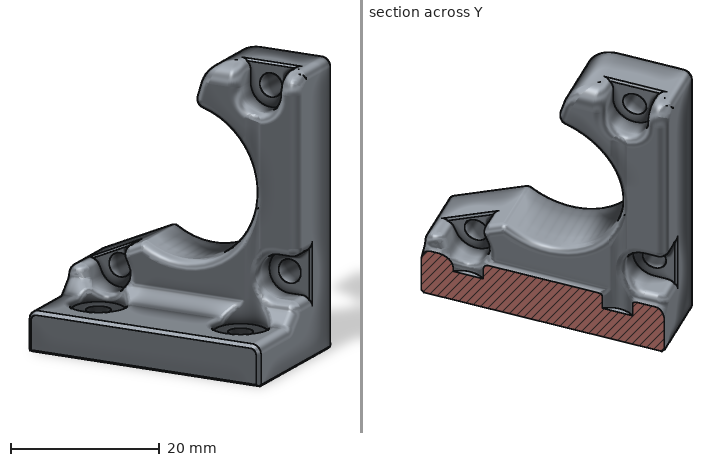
import cadquery as cq
import math

width = 35.2
depth = 21.0
height = 41.0
base_height = 6.0
upright_depth = 10.0
half_width = width / 2

bore_radius = 11.0
bore_height = 23.5
ramp_angle = math.radians(24.6)
ramp_end_x = -6.0
hook_tangent_x = 6.9
hook_radius = 4.6
hook_angle = math.radians(73)

blend_leg = 2.0
blend_fillet = 1.0

edge_fillet = 1.35
top_front_fillet = 3.0
ramp_corner_fillet = 1.5
ramp_tip_fillet = 0.8
front_chamfer = 0.5
rear_chamfer = 0.4

hole_diameter = 3.4
pocket_radius = 3.1
pocket_depth = 4.0
pocket_fillet = 1.4
pocket_chamfer = 0.3
pocket_reach = 12.0
base_hole_x = 10.8
base_hole_y = -13.5
clearance_radius = 3.7
clearance_depth = 1.0
clearance_fillet = 0.95
rim_samples = 5
tolerance = 1e-3
upright_screws = [
    (11.5, 37.8, 0.0),
    (14.35, 12.0, -90.0),
    (-11.4, 9.2, math.degrees(ramp_angle)),
]


def bore_z(x, side):
    """Height of the bore wall at x, on its upper (+1) or lower (-1) half."""
    return bore_height + side * math.sqrt(bore_radius**2 - x**2)


ramp_tip = (ramp_end_x, bore_z(ramp_end_x, -1))
ramp_foot = (-half_width, ramp_tip[1] - (ramp_end_x + half_width) * math.tan(ramp_angle))
hook_corner = (hook_tangent_x - hook_radius * math.tan(hook_angle / 2), height)


def hook_tip_point():
    """Point where the slanted end of the hook meets the bore."""
    step_x = math.cos(hook_angle)
    step_z = math.sin(hook_angle)
    start_z = height - bore_height
    along = hook_corner[0] * step_x + start_z * step_z
    offset_squared = hook_corner[0] ** 2 + start_z**2 - along**2
    travel = along - math.sqrt(bore_radius**2 - offset_squared)
    return (hook_corner[0] - travel * step_x, height - travel * step_z)


hook_tip = hook_tip_point()


def near(x, y, z):
    """Selector for the edge closest to a point."""
    return cq.NearestToPointSelector((x, y, z))


def fillet_lengthwise(body, point, radius):
    """Round the edge along Y that passes through an (X, Z) point."""
    x, z = point
    return body.edges("|Y").edges(near(x, -upright_depth / 2, z)).fillet(radius)


def make_upright():
    """Hook-shaped plate around the bore, rounded over along its top front edge."""
    body = (
        cq.Workplane("XZ")
        .moveTo(-half_width, 0)
        .lineTo(half_width, 0)
        .lineTo(half_width, height)
        .lineTo(*hook_corner)
        .lineTo(*hook_tip)
        .threePointArc((bore_radius, bore_height), ramp_tip)
        .lineTo(*ramp_foot)
        .close()
        .extrude(upright_depth)
    )
    body = fillet_lengthwise(body, (half_width, height), edge_fillet)
    body = fillet_lengthwise(body, hook_corner, hook_radius)
    body = fillet_lengthwise(body, hook_tip, edge_fillet)
    body = fillet_lengthwise(body, ramp_tip, ramp_tip_fillet)
    body = fillet_lengthwise(body, ramp_foot, ramp_corner_fillet)
    rounded_slab = (
        cq.Workplane("XY")
        .box(width, upright_depth, height, centered=(True, False, False))
        .translate((0, -upright_depth, 0))
        .edges(">Z and <Y")
        .fillet(top_front_fillet)
    )
    return body.intersect(rounded_slab)


def make_base():
    """Foot plate with a sloping blend up to the front of the upright."""
    return (
        cq.Workplane("YZ", origin=(-half_width, 0, 0))
        .moveTo(0, 0)
        .lineTo(-depth, 0)
        .lineTo(-depth, base_height)
        .lineTo(-upright_depth - blend_leg, base_height)
        .lineTo(-upright_depth, base_height + blend_leg)
        .lineTo(0, base_height + blend_leg)
        .close()
        .extrude(width)
    )


def round_blend(body):
    """Round both ends of the slope between base and upright."""
    body = body.edges(near(0, -upright_depth, base_height + blend_leg)).fillet(blend_fillet)
    return body.edges(near(0, -upright_depth - blend_leg, base_height)).fillet(blend_fillet)


def round_front_edges(body):
    """Round the sides, the ramp, the hook end and the bore where they meet the front."""
    ramp_middle = ((ramp_tip[0] + ramp_foot[0]) / 2, (ramp_tip[1] + ramp_foot[1]) / 2)
    hook_middle = (hook_tip[0] + edge_fillet * math.cos(hook_angle), hook_tip[1] + 2 * edge_fillet)
    bore_diagonal = bore_radius * math.sqrt(0.5)
    seeds = [
        (half_width, bore_height),
        ramp_middle,
        hook_middle,
        (bore_diagonal, bore_height - bore_diagonal),
    ]
    edges = [body.edges(near(x, -upright_depth, z)).val() for x, z in seeds]
    return body.newObject(edges).fillet(edge_fillet)


def chamfer_outer_edges(body):
    """Break the outlines of the base front, the underside and the back face."""
    body = body.faces("<Y").edges().chamfer(front_chamfer)
    body = body.faces("<Z").edges().chamfer(rear_chamfer)
    return body.faces(">Y").edges().chamfer(rear_chamfer)


def cut_pocket(body, x, z, tilt):
    """Cut a screw-head pocket, open to one side, and round its mouth."""
    slot = (
        cq.Workplane("XZ")
        .moveTo(pocket_radius, 0)
        .lineTo(pocket_radius, pocket_reach)
        .lineTo(-pocket_radius, pocket_reach)
        .lineTo(-pocket_radius, 0)
        .threePointArc((0, -pocket_radius), (pocket_radius, 0))
        .close()
        .extrude(depth)
        .rotate((0, 0, 0), (0, -1, 0), tilt)
        .translate((x, pocket_depth - upright_depth, z))
    )
    body = body.cut(slot)
    angle = math.radians(tilt)
    seed_x = x + pocket_radius * math.cos(angle)
    seed_z = z + pocket_radius * math.sin(angle)
    return body.edges(near(seed_x, -upright_depth, seed_z)).fillet(pocket_fillet)


def chamfer_pocket_floor(body, x, z, tilt):
    """Break the edge where a pocket floor runs out through the outline."""
    floor_y = pocket_depth - upright_depth
    angle = math.radians(tilt)
    across = cq.Vector(math.cos(angle), 0, math.sin(angle))
    mouth_radius = pocket_radius + pocket_fillet
    low_corner = (x - mouth_radius, floor_y - tolerance, z - mouth_radius)
    high_corner = (x + mouth_radius, floor_y + tolerance, z + mouth_radius)
    floor_edges = body.edges(cq.selectors.ParallelDirSelector(across)).edges(
        cq.selectors.BoxSelector(low_corner, high_corner)
    )
    return floor_edges.chamfer(pocket_chamfer)


def cut_clearance(body, x):
    """Sink the seat of a base screw, clear the path above it and round the rim."""
    seat_z = base_height - clearance_depth
    path = (
        cq.Workplane("XY", origin=(x, base_hole_y, seat_z))
        .circle(clearance_radius)
        .extrude(height)
    )
    body = body.cut(path)

    def on_rim(edge):
        """True for an edge on the wall of the path, above its seat."""
        points = [edge.positionAt(step / rim_samples) for step in range(rim_samples + 1)]
        return all(
            abs(math.hypot(p.x - x, p.y - base_hole_y) - clearance_radius) < tolerance
            and p.z > seat_z + tolerance
            for p in points
        )

    rim = [edge for edge in body.edges().vals() if on_rim(edge)]
    return body.newObject(rim).fillet(clearance_fillet)


def drill_holes(body):
    """Drill the two base holes along Z and the three upright holes along Y."""
    base_holes = (
        cq.Workplane("XY")
        .pushPoints([(-base_hole_x, base_hole_y), (base_hole_x, base_hole_y)])
        .circle(hole_diameter / 2)
        .extrude(base_height)
    )
    upright_holes = (
        cq.Workplane("XZ")
        .pushPoints([(x, z) for x, z, tilt in upright_screws])
        .circle(hole_diameter / 2)
        .extrude(upright_depth)
    )
    return body.cut(base_holes).cut(upright_holes)


part = make_upright().union(make_base()).clean()
part = round_blend(part)
part = round_front_edges(part)
for screw_x, screw_z, screw_tilt in upright_screws:
    part = cut_pocket(part, screw_x, screw_z, screw_tilt)
    part = chamfer_pocket_floor(part, screw_x, screw_z, screw_tilt)
part = chamfer_outer_edges(part)
for side in (-1, 1):
    part = cut_clearance(part, side * base_hole_x)
result = drill_holes(part)